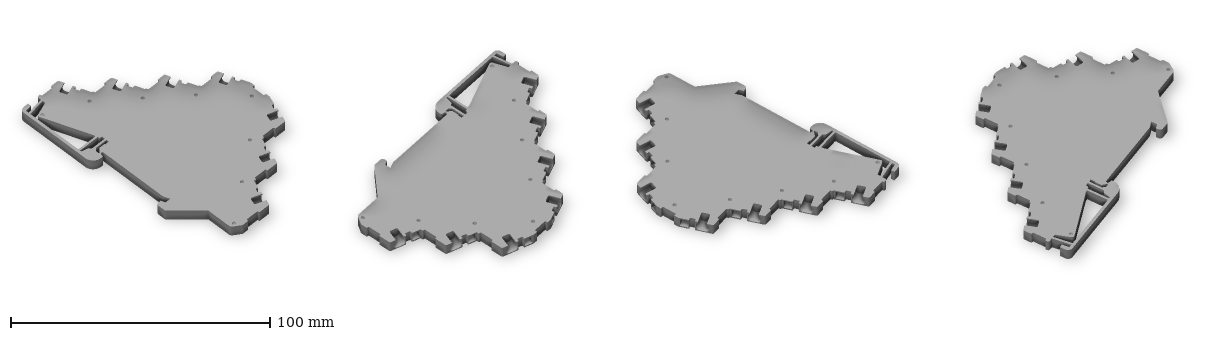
import cadquery as cq
import math

LENGTH = 102.8
HEIGHT = 72.5
THICKNESS = 5.1

SLOPE = 20.0
MIDDLE_X = 58.8
CROWN_Y = 67.6
CROWN_HALF_WIDTH = 18.3
LEFT_STEPS = 4
LEFT_RISE = 15.5
LEFT_SHOULDER = 3.7
RIGHT_STEPS = 3
RIGHT_RISE = 17.5
RIGHT_SHOULDER = 5.3
LEFT_RUN = (MIDDLE_X - CROWN_HALF_WIDTH) / (LEFT_STEPS - 1)
RIGHT_RUN = (LENGTH - MIDDLE_X - CROWN_HALF_WIDTH) / (RIGHT_STEPS - 1)
CORNER_RADIUS = 0.7

RECESS_DEPTH = 0.9
RECESS_HEIGHT = 6.4
RECESS_TAPER = 0.26

NOTCH_START = 7.4
NOTCH_END = 9.8
NOTCH_DEPTH = 1.2
NOTCH_LIP_RADIUS = 0.36
NOTCH_FOOT_RADIUS = 0.4

WIRE_CENTER = 4.4
WIRE_DEPTH = 5.1
WIRE_WIDTH = 5.1
WIRE_HEIGHT = 4.1
WIRE_CORNER_RADIUS = 1.4
SLOT_WIDTH = 3.6
SLOT_END_RADIUS = 0.6

TOOL_START = 10.1
TOOL_END = 13.5
TOOL_WIDTH = 3.8
TOOL_DEPTH = 3.1

CROWN_NOTCH_WIDTH = 6.2
CROWN_NOTCH_DEPTH = 1.1

DIMPLE_TOP_RADIUS = 0.8
DIMPLE_FLOOR_RADIUS = 0.5
DIMPLE_DEPTH = 0.5
DIMPLE_FROM_CORNER_LEFT = (16.0, 1.0)
DIMPLE_FROM_CORNER_RIGHT = (15.8, 1.1)
CROWN_DIMPLE = (MIDDLE_X, 67.8)
HEEL_DIMPLE = (99.7, 16.4)
TOE_DIMPLE = (8.0, 4.3)

HEEL_Y = 14.1
HOOK_Y = 2.4
TOE_SHELF_Y = 9.5
SEAT_Y = 7.0
FOOT_BAR = 1.3
WEB_LEFT = 30.3
WEB_GAP_LEFT = 31.2
WEB_GAP_RIGHT = 33.7
SPRING_RIGHT = 34.6
WEB_WINDOW_STEP_Y = 11.2
GAP_TOP = 12.4

COS = math.cos(math.radians(SLOPE))
SIN = math.sin(math.radians(SLOPE))
TAN = SIN / COS


def left_corner(level):
    """Outer corner of a left step, level 0 being the uppermost."""
    return (MIDDLE_X - CROWN_HALF_WIDTH - level * LEFT_RUN, CROWN_Y - level * LEFT_RISE)


def right_corner(level):
    """Outer corner of a right step, level 0 being the uppermost."""
    return (MIDDLE_X + CROWN_HALF_WIDTH + level * RIGHT_RUN, CROWN_Y - level * RIGHT_RISE)


def on_slope(corner, side, along, depth):
    """Point at a distance along a slope and below it; side is +1 left, -1 right."""
    x = along * COS + depth * SIN
    y = along * SIN - depth * COS
    return (corner[0] + side * x, corner[1] + y)


def step_top(corner, side):
    """Rounded corner and notched slope, listed from the outside inwards."""
    return [
        (corner[0], corner[1], CORNER_RADIUS),
        (*on_slope(corner, side, NOTCH_START, 0), NOTCH_LIP_RADIUS),
        on_slope(corner, side, NOTCH_START, NOTCH_DEPTH),
        (*on_slope(corner, side, NOTCH_END, NOTCH_DEPTH), NOTCH_FOOT_RADIUS),
        (*on_slope(corner, side, NOTCH_END, 0), NOTCH_LIP_RADIUS),
    ]


def flank_recess(corner, side, shoulder):
    """Marker recess in the upright flank, listed upwards."""
    x = corner[0]
    inner_x = x + side * RECESS_DEPTH
    top = corner[1] - shoulder
    bottom = top - RECESS_HEIGHT
    return [(x, bottom), (inner_x, bottom + RECESS_TAPER), (inner_x, top - RECESS_TAPER), (x, top)]


def left_stair():
    """Left edge of the plate from the lowest recess up to the crown."""
    points = []
    for level in reversed(range(LEFT_STEPS)):
        corner = left_corner(level)
        points += flank_recess(corner, 1, LEFT_SHOULDER)
        points += step_top(corner, 1)
        if level > 0:
            next_x = left_corner(level - 1)[0]
            points.append((next_x, corner[1] + LEFT_RUN * TAN))
    return points


def right_stair():
    """Right edge of the plate from the crown down to the lowest recess."""
    points = []
    for level in range(RIGHT_STEPS):
        corner = right_corner(level)
        if level > 0:
            previous_x = right_corner(level - 1)[0]
            points.append((previous_x, corner[1] + RIGHT_RUN * TAN))
        points += reversed(step_top(corner, -1))
        points += reversed(flank_recess(corner, -1, RIGHT_SHOULDER))
    return points


def crown():
    """Flat top edge with its central notch."""
    flat_half = CROWN_HALF_WIDTH - (HEIGHT - CROWN_Y) / TAN
    notch_half = CROWN_NOTCH_WIDTH / 2
    notch_y = HEIGHT - CROWN_NOTCH_DEPTH
    return [
        (MIDDLE_X - flat_half, HEIGHT),
        (MIDDLE_X - notch_half, HEIGHT),
        (MIDDLE_X - notch_half, notch_y),
        (MIDDLE_X + notch_half, notch_y),
        (MIDDLE_X + notch_half, HEIGHT),
        (MIDDLE_X + flat_half, HEIGHT),
    ]


def rounded_prism(points, base=0.0, depth=THICKNESS):
    """Closed outline raised along Z; a third number in a point rounds that corner."""
    ends = []
    for i, point in enumerate(points):
        corner = cq.Vector(point[0], point[1])
        radius = point[2] if len(point) > 2 else 0
        before = points[i - 1]
        after = points[(i + 1) % len(points)]
        back = (cq.Vector(before[0], before[1]) - corner).normalized()
        ahead = (cq.Vector(after[0], after[1]) - corner).normalized()
        half_angle = back.getAngle(ahead) / 2
        trim = radius / math.tan(half_angle)
        bisector = (back + ahead).normalized()
        middle = corner + bisector * (radius / math.sin(half_angle) - radius)
        ends.append((corner + back * trim, middle, corner + ahead * trim, radius))
    outline = cq.Workplane("XY").workplane(offset=base).moveTo(*ends[0][2].toTuple()[:2])
    for start, middle, end, radius in ends[1:] + ends[:1]:
        outline = outline.lineTo(start.x, start.y)
        if radius:
            outline = outline.threePointArc((middle.x, middle.y), (end.x, end.y))
    return outline.close().extrude(depth)


def plate():
    """Whole plate outline with the rail hook, the foot bar and its toe."""
    heel_and_hook = [
        (LENGTH, 18.1),
        (100.1, HEEL_Y, 1.5),
        (88.1, HEEL_Y),
        (76.3, HOOK_Y, 1.3),
        (71.4, HOOK_Y, 1.3),
        (71.4, 4.8),
        (73.4, 5.4),
        (73.4, 8.1),
        (70.6, SEAT_Y, 2.6),
    ]
    foot = [
        (38.0, SEAT_Y),
        (37.7, 6.1),
        (38.2, 5.7),
        (39.7, 5.4, 0.4),
        (39.7, 0, 4.3),
        (0, 0, 2.1),
        (0, 4.5),
        (1.5, 4.5),
        (2.0, FOOT_BAR),
        (3.4, FOOT_BAR),
        (2.2, TOE_SHELF_Y),
        (0, TOE_SHELF_Y, 0.7),
    ]
    return rounded_prism(left_stair() + crown() + right_stair() + heel_and_hook + foot)


def toe_window():
    """Large window between the plate and the foot bar."""
    return rounded_prism([
        (3.1, TOE_SHELF_Y),
        (4.4, TOE_SHELF_Y),
        (7.0, 2.4, 1.0),
        (29.4, 10.7),
        (WEB_LEFT, 10.7),
        (WEB_LEFT, FOOT_BAR, 0.4),
        (4.3, FOOT_BAR),
    ])


def web_window():
    """Narrow window between the two upright webs."""
    return rounded_prism([
        (WEB_GAP_LEFT, FOOT_BAR),
        (WEB_GAP_LEFT, WEB_WINDOW_STEP_Y),
        (32.1, WEB_WINDOW_STEP_Y),
        (32.3, GAP_TOP),
        (WEB_GAP_RIGHT, GAP_TOP),
        (WEB_GAP_RIGHT, 5.1),
        (32.7, 4.6, 0.5),
        (31.9, FOOT_BAR),
    ])


def spring_window():
    """Bent slit that frees the spring leg from the plate."""
    return rounded_prism([
        (SPRING_RIGHT, 6.6),
        (SPRING_RIGHT, GAP_TOP),
        (35.9, GAP_TOP),
        (35.9, 10.5),
        (35.6, 10.5),
        (35.6, 7.5),
        (37.4, 5.8),
        (37.2, 5.4),
        (35.8, 5.4),
    ])


def slope_plane(corner, side, along):
    """Plane lying on a slope, its X running along the slope and its normal outwards."""
    origin = on_slope(corner, side, along, 0)
    return cq.Plane(
        origin=(origin[0], origin[1], THICKNESS / 2),
        xDir=(side * COS, SIN, 0),
        normal=(-side * SIN, COS, 0),
    )


def wire_entry(corner, side):
    """Rounded rectangular bore into the slope, slotted open to the top face."""
    plane = slope_plane(corner, side, WIRE_CENTER)
    bore = (
        cq.Workplane(plane)
        .rect(WIRE_WIDTH, WIRE_HEIGHT)
        .extrude(-WIRE_DEPTH)
        .edges(cq.selectors.ParallelDirSelector(plane.zDir))
        .fillet(WIRE_CORNER_RADIUS)
    )
    first = WIRE_CENTER - SLOT_WIDTH / 2
    last = WIRE_CENTER + SLOT_WIDTH / 2
    slot_outline = [
        on_slope(corner, side, first, 0),
        on_slope(corner, side, last, 0),
        (*on_slope(corner, side, last, WIRE_DEPTH), SLOT_END_RADIUS),
        (*on_slope(corner, side, first, WIRE_DEPTH), SLOT_END_RADIUS),
    ]
    return bore.union(rounded_prism(slot_outline, THICKNESS / 2, THICKNESS / 2))


def tool_opening(corner, side):
    """Blind rectangular opening in the slope beyond the notch."""
    plane = slope_plane(corner, side, (TOOL_START + TOOL_END) / 2)
    return cq.Workplane(plane).rect(TOOL_END - TOOL_START, TOOL_WIDTH).extrude(-TOOL_DEPTH)


def dimple(center):
    """Shallow conical dimple in the top face."""
    floor = cq.Workplane("XY").workplane(offset=THICKNESS - DIMPLE_DEPTH).center(*center)
    return (
        floor.circle(DIMPLE_FLOOR_RADIUS)
        .workplane(offset=DIMPLE_DEPTH)
        .circle(DIMPLE_TOP_RADIUS)
        .loft()
    )


left_corners = [left_corner(level) for level in range(LEFT_STEPS)]
right_corners = [right_corner(level) for level in range(RIGHT_STEPS)]

dimples = [CROWN_DIMPLE, HEEL_DIMPLE, TOE_DIMPLE]
for x, y in left_corners[1:]:
    dimples.append((x + DIMPLE_FROM_CORNER_LEFT[0], y + DIMPLE_FROM_CORNER_LEFT[1]))
for x, y in right_corners[1:]:
    dimples.append((x - DIMPLE_FROM_CORNER_RIGHT[0], y + DIMPLE_FROM_CORNER_RIGHT[1]))

result = plate().cut(toe_window()).cut(web_window()).cut(spring_window())
for side, corners in ((1, left_corners), (-1, right_corners)):
    for corner in corners:
        result = result.cut(wire_entry(corner, side)).cut(tool_opening(corner, side))
for center in dimples:
    result = result.cut(dimple(center))